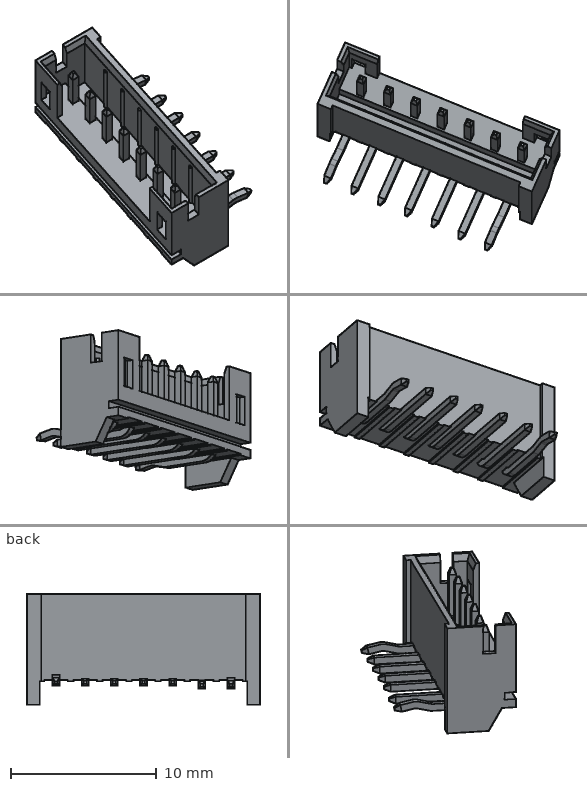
import cadquery as cq
import math


pin_count = 7
pitch = 2.0
first_pin_x = -pitch * (pin_count - 1) / 2

housing_length = 16.0
housing_depth = 4.8
housing_height = 7.6
base_bottom_z = 1.6

back_wall_y = 4.5
back_pad_width = 1.0

leg_thickness = 0.9
leg_slope_top_y = 0.98
leg_slope_angle = 60.0

relief_width = 1.6
relief_depth = 0.1

end_wall = 0.5
front_wall = 0.435
cavity_back_y = 3.81
cavity_depth = 3.8
lead_in_depth = 0.5
lead_in = 0.2
back_lead_in = 0.22

trench_front_y = 2.17
trench_slope_length = 0.5
trench_slope_angle = 8.0
trench_depth = 5.0

front_opening_width = 10.85
side_window_width = 1.0
side_window_height = 2.0
side_window_x = 6.8
end_slot_y = 1.4
end_slot_width = 0.9
end_slot_depth = 2.0

groove_depth = 0.8
groove_bottom_z = 2.2
groove_height = 0.5

rib_radius = 0.15
rib_top_gap = 0.95

pin_size = 0.5
tip_size = 0.19
tip_length = 0.43
pin_y = 1.78
pin_top_z = 7.0
tail_bottom_z = 1.1
bend_radius = 0.75
straight_tail_end_y = 8.1
kinked_tail_end_y = 8.13
kink_start_y = 5.56
kink_rise_angle = 14.0
kink_fall_angle = 11.0
kink_rise_length = 0.98
kink_radius = 0.65

low_pin_count = 2
raised_seat = 0.2
straight_seat_shift = -0.03


def block(x_range, y_range, z_range):
    """Box between pairs of limits along X, Y and Z."""
    (x0, x1), (y0, y1), (z0, z1) = x_range, y_range, z_range
    return cq.Workplane("XY").box(x1 - x0, y1 - y0, z1 - z0, centered=False).translate((x0, y0, z0))


def along_x(points, x_start, length):
    """Extrude a closed outline of (y, z) points along X."""
    return cq.Workplane("YZ").workplane(offset=x_start).polyline(points).close().extrude(length)


def make_shell():
    half_length = housing_length / 2
    shell = block((-half_length, half_length), (0, housing_depth), (base_bottom_z, housing_height))
    back_half_width = half_length - back_pad_width
    shell = shell.cut(
        block((-back_half_width, back_half_width), (back_wall_y, housing_depth), (base_bottom_z, housing_height))
    )
    leg_slope_bottom_y = leg_slope_top_y + base_bottom_z / math.tan(math.radians(leg_slope_angle))
    leg_outline = [
        (leg_slope_top_y, base_bottom_z),
        (leg_slope_bottom_y, 0),
        (housing_depth, 0),
        (housing_depth, base_bottom_z),
    ]
    for leg_x in (-half_length, half_length - leg_thickness):
        shell = shell.union(along_x(leg_outline, leg_x, leg_thickness))
    return shell


def make_cavity():
    cavity_half = housing_length / 2 - end_wall
    floor_z = housing_height - cavity_depth
    cavity = block((-cavity_half, cavity_half), (front_wall, cavity_back_y), (floor_z, housing_height))

    mouth_width = 2 * (cavity_half + lead_in)
    mouth_front_y = front_wall - lead_in
    mouth_back_y = cavity_back_y + back_lead_in
    throat_center_y = (front_wall + cavity_back_y) / 2
    mouth_center_y = (mouth_front_y + mouth_back_y) / 2
    mouth = (
        cq.Workplane("XY", origin=(0, throat_center_y, housing_height - lead_in_depth))
        .rect(2 * cavity_half, cavity_back_y - front_wall)
        .workplane(offset=lead_in_depth)
        .center(0, mouth_center_y - throat_center_y)
        .rect(mouth_width, mouth_back_y - mouth_front_y)
        .loft(ruled=True)
    )

    trench_floor_z = housing_height - trench_depth
    slope_rise = trench_slope_length * math.tan(math.radians(trench_slope_angle))
    trench_outline = [
        (trench_front_y, floor_z),
        (trench_front_y, trench_floor_z + slope_rise),
        (trench_front_y + trench_slope_length, trench_floor_z),
        (cavity_back_y, trench_floor_z),
        (cavity_back_y, floor_z),
    ]
    trench = along_x(trench_outline, -cavity_half, 2 * cavity_half)
    return cavity.union(mouth).union(trench)


def make_wall_openings():
    half_length = housing_length / 2
    floor_z = housing_height - cavity_depth
    half_opening = front_opening_width / 2
    openings = block((-half_opening, half_opening), (0, front_wall), (floor_z, housing_height))
    for side in (-1, 1):
        x_center = side * side_window_x
        openings = openings.union(
            block(
                (x_center - side_window_width / 2, x_center + side_window_width / 2),
                (0, front_wall),
                (floor_z, floor_z + side_window_height),
            )
        )
    end_slots = block(
        (-half_length, half_length),
        (end_slot_y, end_slot_y + end_slot_width),
        (housing_height - end_slot_depth, housing_height),
    )
    return openings.union(end_slots)


def make_groove():
    half_length = housing_length / 2
    return block(
        (-half_length, half_length), (0, groove_depth), (groove_bottom_z, groove_bottom_z + groove_height)
    )


def make_relief(x):
    return block(
        (x - relief_width / 2, x + relief_width / 2),
        (0, back_wall_y),
        (base_bottom_z, base_bottom_z + relief_depth),
    )


def make_rib(x):
    rib_bottom_z = housing_height - trench_depth
    rib_height = housing_height - rib_top_gap - rib_bottom_z
    return cq.Workplane("XY", origin=(x, cavity_back_y, rib_bottom_z)).circle(rib_radius).extrude(rib_height)


def make_housing(pins):
    body = make_shell().cut(make_cavity()).cut(make_wall_openings()).cut(make_groove())
    for i in range(pin_count):
        body = body.cut(make_relief(first_pin_x + i * pitch))
    for i in range(pin_count - 1):
        body = body.union(make_rib(first_pin_x + (i + 0.5) * pitch))
    for pin in pins:
        body = body.cut(pin)
    return body


def make_tip(base, direction):
    """Tapered end of a pin, growing from a (y, z) base point at an angle above +Y."""
    angle = math.radians(direction)
    plane = cq.Plane(
        origin=(0, base[0], base[1]), xDir=(1, 0, 0), normal=(0, math.cos(angle), math.sin(angle))
    )
    return (
        cq.Workplane(plane)
        .rect(pin_size, pin_size)
        .workplane(offset=tip_length)
        .rect(tip_size, tip_size)
        .loft(ruled=True)
    )


def make_pin(kinked):
    """Right-angle pin in the low seat at X = 0, with a straight or a kinked tail."""
    shoulder_z = pin_top_z - tip_length
    tail_z = tail_bottom_z + pin_size / 2
    bend_end_y = pin_y + bend_radius
    path = (
        cq.Workplane("YZ")
        .moveTo(pin_y, shoulder_z)
        .lineTo(pin_y, tail_z + bend_radius)
        .tangentArcPoint((bend_end_y, tail_z), relative=False)
    )
    if kinked:
        rise = math.radians(kink_rise_angle)
        fall = math.radians(kink_fall_angle)
        arc_start_y = kink_start_y + kink_rise_length * math.cos(rise)
        arc_start_z = tail_z + kink_rise_length * math.sin(rise)
        arc_end_y = arc_start_y + kink_radius * (math.sin(rise) + math.sin(fall))
        arc_end_z = arc_start_z + kink_radius * (math.cos(fall) - math.cos(rise))
        end_y = kinked_tail_end_y - tip_length * math.cos(fall) - tip_size / 2 * math.sin(fall)
        end_z = arc_end_z - (end_y - arc_end_y) * math.tan(fall)
        end_angle = -kink_fall_angle
        path = (
            path.lineTo(kink_start_y, tail_z)
            .lineTo(arc_start_y, arc_start_z)
            .tangentArcPoint((arc_end_y, arc_end_z), relative=False)
        )
    else:
        end_y = straight_tail_end_y - tip_length
        end_z = tail_z
        end_angle = 0
    path = path.lineTo(end_y, end_z)
    shank = (
        cq.Workplane("XY", origin=(0, pin_y, shoulder_z))
        .rect(pin_size, pin_size)
        .sweep(path, transition="right")
    )
    return shank.union(make_tip((pin_y, shoulder_z), 90)).union(make_tip((end_y, end_z), end_angle))


pins = []
for i in range(pin_count):
    kinked = i in (0, pin_count - 1)
    seat_z = 0 if i < low_pin_count else raised_seat
    seat_y = straight_seat_shift if i >= low_pin_count and not kinked else 0
    pins.append(make_pin(kinked).translate((first_pin_x + i * pitch, seat_y, seat_z)))

housing = make_housing(pins)

result = cq.Compound.makeCompound([*housing.solids().vals(), *[pin.solids().val() for pin in pins]])